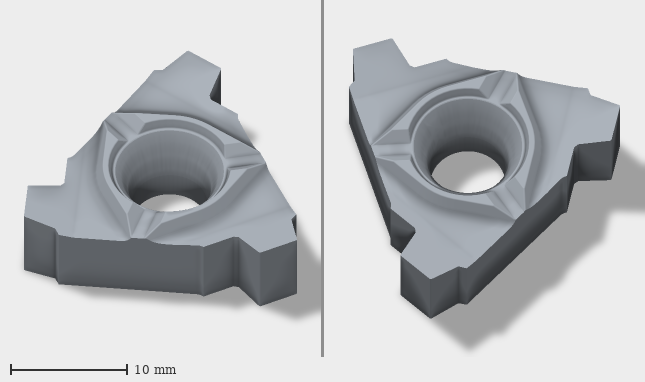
import cadquery as cq
import math

floor_height = 6.23
top_height = 7.5

arm_count = 3
side_distance = 7.95
tip_reach = 11.98
tooth_center = -4.83
tooth_tip_half_width = 1.78
tooth_tip_radius = 0.15
tooth_root_half_width = 2.49
tooth_root_reach = 9.2
left_shoulder_reach = 8.83
right_shoulder_reach = 8.93
right_shoulder_start = -2.0
right_shoulder_end = 0.88
side_start = 1.1
side_blend_radius = 0.95

ramp_start = 7.58
ramp_angle = 10
ramp_blend_radius = 0.95

boss_top_radius = 5.75
boss_arc_span = 31
boss_flank_angle = 55
boss_foot_radius = 0.83

groove_floor_height = 6.75
groove_floor_half_width = 0.5
groove_top_half_width = 1.52

hole_radius = 6.5 / 2
seat_rim_radius = 4.71
seat_arc_radius = 6.87
recess_floor_radius = 4.93
recess_top_radius = 5.28

edge_radius = 0.15
rounded_reach = 8.52
height_tolerance = 0.002

arm_step = 360 / arm_count
arm_angles = [-arm_step * index for index in range(arm_count)]
stock_size = 3 * tip_reach
boss_arc_start = 90 + boss_arc_span - arm_step
groove_direction = (90 + boss_arc_start) / 2


def polar(radius, angle):
    """Plan point at a distance and direction from the hole axis."""
    return (radius * math.cos(math.radians(angle)), radius * math.sin(math.radians(angle)))


def turned(point, angle):
    """Turn a plan point about the hole axis."""
    return polar(math.hypot(*point), math.degrees(math.atan2(point[1], point[0])) + angle)


def turned_solid(solid, angle):
    return solid.rotate((0, 0, 0), (0, 0, 1), angle)


def round_corners(prism, corners, radius):
    """Round the upright edges at the given plan corners on every arm."""
    edges = []
    for angle in arm_angles:
        for corner in corners:
            x, y = turned(corner, angle)
            nearest = cq.selectors.NearestToPointSelector((x, y, top_height / 2))
            edges.append(prism.edges(nearest).val())
    return prism.newObject(edges).fillet(radius)


def make_outline_prism():
    side_normal = math.radians(180 - arm_step)
    side_start_reach = (side_distance - side_start * math.cos(side_normal)) / math.sin(side_normal)
    left_tip = (tooth_center - tooth_tip_half_width, tip_reach)
    right_tip = (tooth_center + tooth_tip_half_width, tip_reach)
    side_corner = (side_start, side_start_reach)
    arm_points = [
        (-side_distance, left_shoulder_reach),
        (tooth_center - tooth_root_half_width, tooth_root_reach),
        left_tip,
        right_tip,
        (tooth_center + tooth_root_half_width, tooth_root_reach),
        (right_shoulder_start, right_shoulder_reach),
        (right_shoulder_end, right_shoulder_reach),
        side_corner,
    ]
    outline = [turned(point, angle) for angle in arm_angles for point in arm_points]
    prism = cq.Workplane("XY").polyline(outline).close().extrude(top_height)

    prism = round_corners(prism, [left_tip, right_tip], tooth_tip_radius)
    return round_corners(prism, [side_corner], side_blend_radius)


def make_ramp():
    slope = math.radians(ramp_angle)
    tangent = ramp_blend_radius * math.tan(slope / 2)
    blend_start = ramp_start - tangent
    blend_mid = (
        blend_start + ramp_blend_radius * math.sin(slope / 2),
        floor_height + ramp_blend_radius * (1 - math.cos(slope / 2)),
    )
    blend_end = (ramp_start + tangent * math.cos(slope), floor_height + tangent * math.sin(slope))
    end_height = floor_height + (stock_size - ramp_start) * math.tan(slope)
    return (
        cq.Workplane("YZ", origin=(-stock_size / 2, 0, 0))
        .moveTo(blend_start, 0)
        .lineTo(blend_start, floor_height)
        .threePointArc(blend_mid, blend_end)
        .lineTo(stock_size, end_height)
        .lineTo(stock_size, 0)
        .close()
        .extrude(stock_size)
    )


def make_boss():
    """Tapered boss: three arcs joined by tangent lines that meet in corners at the grooves."""
    flank_height = top_height - floor_height
    foot = boss_top_radius + flank_height / math.tan(math.radians(boss_flank_angle))
    corner_distance = foot / math.cos(math.radians(90 - groove_direction))
    outline = cq.Workplane("XY", origin=(0, 0, floor_height)).moveTo(*polar(foot, 90))
    for angle in arm_angles:
        arc_start = boss_arc_start + angle
        outline = (
            outline.lineTo(*polar(corner_distance, groove_direction + angle))
            .lineTo(*polar(foot, arc_start))
            .threePointArc(polar(foot, arc_start - boss_arc_span / 2), polar(foot, arc_start - boss_arc_span))
        )
    return outline.close().extrude(flank_height, taper=90 - boss_flank_angle)


def make_groove():
    groove = (
        cq.Workplane("YZ")
        .moveTo(-groove_floor_half_width, groove_floor_height)
        .lineTo(groove_floor_half_width, groove_floor_height)
        .lineTo(groove_top_half_width, top_height)
        .lineTo(-groove_top_half_width, top_height)
        .close()
        .extrude(stock_size)
    )
    return turned_solid(groove, groove_direction)


def make_hole():
    rim_rise = math.sqrt(seat_arc_radius**2 - (seat_arc_radius - seat_rim_radius + hole_radius) ** 2)
    seat_bottom = groove_floor_height - rim_rise
    half_angle = math.asin(rim_rise / seat_arc_radius) / 2
    seat_mid = (
        hole_radius + seat_arc_radius * (1 - math.cos(half_angle)),
        seat_bottom + seat_arc_radius * math.sin(half_angle),
    )
    profile = (
        cq.Workplane("XZ")
        .lineTo(hole_radius, 0)
        .lineTo(hole_radius, seat_bottom)
        .threePointArc(seat_mid, (seat_rim_radius, groove_floor_height))
        .lineTo(recess_floor_radius, groove_floor_height)
        .lineTo(recess_top_radius, top_height)
        .lineTo(0, top_height)
        .close()
    )
    return profile.revolve(360, (0, 0, 0), (0, 1, 0))


def is_boss_foot(edge):
    box = edge.BoundingBox()
    is_level = box.zlen < height_tolerance
    is_outer_rim = box.xlen > stock_size
    return is_level and abs(box.zmin - floor_height) < height_tolerance and not is_outer_rim


def is_boss_top_edge(edge):
    above_groove_floor = edge.BoundingBox().zmin > groove_floor_height - height_tolerance
    return above_groove_floor and math.hypot(edge.Center().x, edge.Center().y) < rounded_reach


slab = cq.Workplane("XY").circle(stock_size).extrude(floor_height)
body = slab.union(make_boss())
body = body.newObject([edge for edge in body.edges().vals() if is_boss_foot(edge)]).fillet(boss_foot_radius)

for arm_angle in arm_angles:
    body = body.cut(turned_solid(make_groove(), arm_angle))
body = body.cut(make_hole())
body = body.newObject([edge for edge in body.edges().vals() if is_boss_top_edge(edge)]).fillet(edge_radius)

for arm_angle in arm_angles:
    body = body.union(turned_solid(make_ramp(), arm_angle))
result = make_outline_prism().intersect(body)